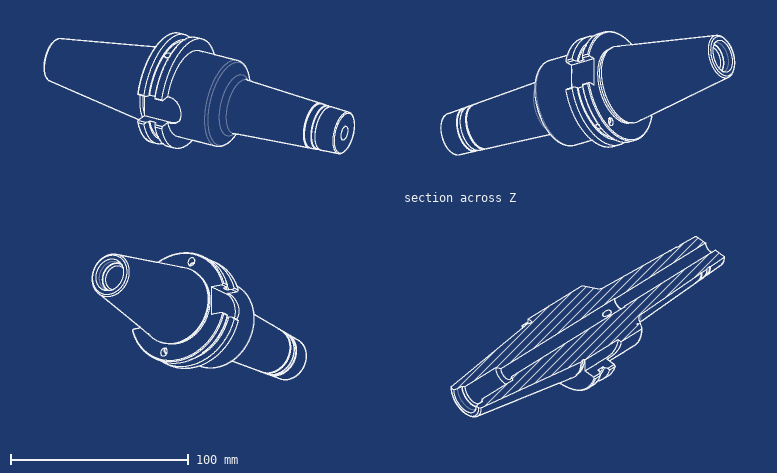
import cadquery as cq
import math

TOTAL_LENGTH = 188.2

TAPER_LENGTH = 68.3
TAPER_LARGE_RADIUS = 22.2
TAPER_RATIO = 7 / 24
TAPER_END_CHAMFER = 1.0

NECK_START = 70.0
NECK_RADIUS = 21.6

FLANGE_START = 71.3
FLANGE_END = 87.2
FLANGE_RADIUS = 63.5 / 2
FLANGE_CHAMFER = 0.5
GROOVE_CENTRE = 79.3
GROOVE_FLOOR_WIDTH = 4.0
GROOVE_FLOOR_RADIUS = 56.0 / 2
GROOVE_WALL_FOOT = 1.0
GROOVE_WALL_ANGLE = 30.0

BODY_RADIUS = 49.9 / 2
SHOULDER_START = 113.0
SHOULDER_ANGLE = 60.0
SHOULDER_EDGE_FILLET = 1.9
SHOULDER_ROOT_FILLET = 4.1

NOSE_END_RADIUS = 12.0
NOSE_ANGLE = 3.0
NOSE_CHAMFER = 0.5
RINGS = (
    (169.0, 0.8),
    (173.8, 2.6),
)
RING_DEPTH = 0.4
RING_WALL_RUN = 0.28

SLOT_WIDTH = 16.2
SLOT_END = 96.5
FRONT_SLOT_FLOOR = 22.4
BACK_SLOT_FLOOR = BODY_RADIUS
SLOT_EDGE_CHAMFER = 1.0

COOLANT_ANGLE = 20.0
CHANNEL_PITCH_RADIUS = 26.7
CHANNEL_SLANT = 30.0
CHANNEL_RADIUS = 1.5
CHANNEL_ENTRY_RADIUS = 2.0
CHANNEL_ENTRY_DEPTH = 2.8
PORT_RADIUS = 1.9

MOUTH_RADIUS = 9.2
MOUTH_DEPTH = 2.3
COUNTERBORE_RADIUS = 8.5
COUNTERBORE_DEPTH = 5.5
LEAD_IN_RADIUS = 8.1
LEAD_IN_DEPTH = 6.5
THREAD_RADIUS = 7.0
THREAD_DEPTH = 30.1
DRILL_POINT_ANGLE = 60.0
DRILL_RADIUS = 4.3
DRILL_DEPTH = 118.6
THROUGH_RADIUS = 4.0


def nose_radius(x):
    return NOSE_END_RADIUS + (TOTAL_LENGTH - x) * math.tan(math.radians(NOSE_ANGLE))


def revolve_about_x(points):
    return cq.Workplane("XY").polyline(points).close().revolve(360, (0, 0, 0), (1, 0, 0))


def fillet_ring(body, x, radius):
    """Round the circular edge that lies at the given place along the axis."""
    reach = FLANGE_RADIUS
    half_slab = radius / 10
    slab = cq.selectors.BoxSelector((x - half_slab, -reach, -reach), (x + half_slab, reach, reach))
    return body.edges(slab).fillet(radius)


def make_outside():
    small_radius = TAPER_LARGE_RADIUS - TAPER_LENGTH * TAPER_RATIO / 2
    chamfer_radius = small_radius + TAPER_END_CHAMFER * TAPER_RATIO / 2
    groove_half_floor = GROOVE_FLOOR_WIDTH / 2
    foot_radius = GROOVE_FLOOR_RADIUS + GROOVE_WALL_FOOT
    wall_run = (FLANGE_RADIUS - foot_radius) * math.tan(math.radians(GROOVE_WALL_ANGLE))
    groove_half_mouth = groove_half_floor + wall_run
    shoulder_slope = math.tan(math.radians(SHOULDER_ANGLE))
    nose_slope = math.tan(math.radians(NOSE_ANGLE))
    shoulder_drop = BODY_RADIUS - nose_radius(SHOULDER_START)
    shoulder_end = SHOULDER_START + shoulder_drop / (shoulder_slope - nose_slope)
    nose_chamfer_start = TOTAL_LENGTH - NOSE_CHAMFER
    body = revolve_about_x([
        (0, 0),
        (0, chamfer_radius - TAPER_END_CHAMFER),
        (TAPER_END_CHAMFER, chamfer_radius),
        (TAPER_LENGTH, TAPER_LARGE_RADIUS),
        (NECK_START, NECK_RADIUS),
        (FLANGE_START, NECK_RADIUS),
        (FLANGE_START, FLANGE_RADIUS - FLANGE_CHAMFER),
        (FLANGE_START + FLANGE_CHAMFER, FLANGE_RADIUS),
        (GROOVE_CENTRE - groove_half_mouth, FLANGE_RADIUS),
        (GROOVE_CENTRE - groove_half_floor, foot_radius),
        (GROOVE_CENTRE - groove_half_floor, GROOVE_FLOOR_RADIUS),
        (GROOVE_CENTRE + groove_half_floor, GROOVE_FLOOR_RADIUS),
        (GROOVE_CENTRE + groove_half_floor, foot_radius),
        (GROOVE_CENTRE + groove_half_mouth, FLANGE_RADIUS),
        (FLANGE_END, FLANGE_RADIUS),
        (FLANGE_END, BODY_RADIUS),
        (SHOULDER_START, BODY_RADIUS),
        (shoulder_end, nose_radius(shoulder_end)),
        (nose_chamfer_start, nose_radius(nose_chamfer_start)),
        (TOTAL_LENGTH, NOSE_END_RADIUS - NOSE_CHAMFER),
        (TOTAL_LENGTH, 0),
    ])
    body = fillet_ring(body, SHOULDER_START, SHOULDER_EDGE_FILLET)
    return fillet_ring(body, shoulder_end, SHOULDER_ROOT_FILLET)


def make_marker_ring(start, width):
    """A shallow ring groove with sloping walls whose floor follows the taper of the nose."""
    end = start + width
    floor_start = start + RING_WALL_RUN
    floor_end = end - RING_WALL_RUN
    outside = nose_radius(start) + RING_DEPTH
    return revolve_about_x([
        (start, nose_radius(start)),
        (floor_start, nose_radius(floor_start) - RING_DEPTH),
        (floor_end, nose_radius(floor_end) - RING_DEPTH),
        (end, nose_radius(end)),
        (end, outside),
        (start, outside),
    ])


def make_drive_slot(floor, side):
    """One slot, with its floor at the given distance from the axis, on the -Y or +Y side."""
    half_width = SLOT_WIDTH / 2
    round_centre = SLOT_END - half_width
    depth = FLANGE_RADIUS - floor
    slot = (
        cq.Workplane("XZ", origin=(0, side * floor, 0))
        .moveTo(FLANGE_START, -half_width)
        .lineTo(round_centre, -half_width)
        .threePointArc((SLOT_END, 0), (round_centre, half_width))
        .lineTo(FLANGE_START, half_width)
        .close()
        .extrude(-side * depth)
    )
    edge_height = math.sqrt(FLANGE_RADIUS**2 - (half_width + SLOT_EDGE_CHAMFER) ** 2)
    edge_inside = edge_height - SLOT_EDGE_CHAMFER
    edge_outside = edge_height + SLOT_EDGE_CHAMFER
    flare = (
        cq.Workplane("YZ", origin=(FLANGE_START, 0, 0))
        .polyline([
            (side * edge_inside, -half_width),
            (side * edge_inside, half_width),
            (side * edge_outside, half_width + 2 * SLOT_EDGE_CHAMFER),
            (side * edge_outside, -half_width - 2 * SLOT_EDGE_CHAMFER),
        ])
        .close()
        .extrude(FLANGE_END - FLANGE_START)
    )
    return slot.union(flare)


def make_coolant_channel():
    """A slanted channel from the flange face into the bore, met by a radial port from the groove."""
    slant = math.radians(CHANNEL_SLANT)
    direction = cq.Vector(math.cos(slant), 0, -math.sin(slant))
    mouth = cq.Vector(FLANGE_START, 0, CHANNEL_PITCH_RADIUS)
    overrun = 2 * CHANNEL_ENTRY_RADIUS
    start = mouth - direction * overrun
    length_to_axis = CHANNEL_PITCH_RADIUS / math.sin(slant)
    entry = cq.Solid.makeCylinder(CHANNEL_ENTRY_RADIUS, overrun + CHANNEL_ENTRY_DEPTH, start, direction)
    channel = cq.Solid.makeCylinder(CHANNEL_RADIUS, overrun + length_to_axis, start, direction)

    port_bottom = CHANNEL_PITCH_RADIUS - (GROOVE_CENTRE - FLANGE_START) * math.tan(slant)
    port = (
        cq.Workplane("XY", origin=(GROOVE_CENTRE, 0, port_bottom))
        .circle(PORT_RADIUS)
        .extrude(FLANGE_RADIUS - port_bottom)
    )
    return port.union(cq.Workplane(channel)).union(cq.Workplane(entry))


def make_bore():
    point_length = (THREAD_RADIUS - DRILL_RADIUS) / math.tan(math.radians(DRILL_POINT_ANGLE))
    return revolve_about_x([
        (0, 0),
        (0, MOUTH_RADIUS),
        (MOUTH_DEPTH, COUNTERBORE_RADIUS),
        (COUNTERBORE_DEPTH, COUNTERBORE_RADIUS),
        (COUNTERBORE_DEPTH, LEAD_IN_RADIUS),
        (LEAD_IN_DEPTH, THREAD_RADIUS),
        (THREAD_DEPTH, THREAD_RADIUS),
        (THREAD_DEPTH + point_length, DRILL_RADIUS),
        (DRILL_DEPTH, DRILL_RADIUS),
        (DRILL_DEPTH, THROUGH_RADIUS),
        (TOTAL_LENGTH, THROUGH_RADIUS),
        (TOTAL_LENGTH, 0),
    ])


result = make_outside().cut(make_bore())
for ring_start, ring_width in RINGS:
    result = result.cut(make_marker_ring(ring_start, ring_width))
result = result.cut(make_drive_slot(FRONT_SLOT_FLOOR, -1))
result = result.cut(make_drive_slot(BACK_SLOT_FLOOR, 1))
for turn in (0, 180):
    coolant_channel = make_coolant_channel().rotate((0, 0, 0), (1, 0, 0), COOLANT_ANGLE + turn)
    result = result.cut(coolant_channel)